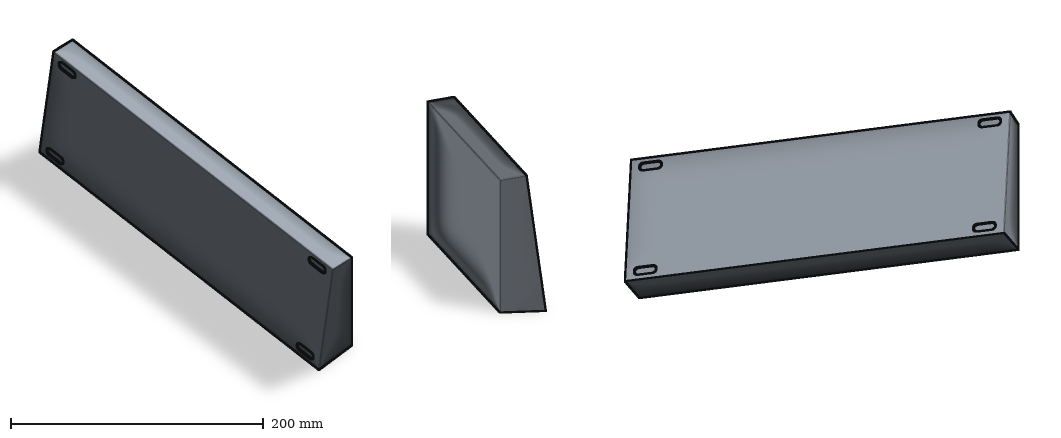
import cadquery as cq
import math

length = 316.5
base_depth = 37.0
height = 110.2
lean_angle = 8.0
edge_radius = 0.5

slot_length = 19.0
slot_width = 7.3
slot_depth = 0.5
slot_wall_taper = 45.0
slot_end_inset = 16.8
slot_edge_inset = 8.0

lean = math.radians(lean_angle)
corner_height = height + edge_radius * (math.cos(lean) + math.sin(lean) - 1)
corner_y = corner_height * math.tan(lean)
face_height = corner_height / math.cos(lean)
back_height = corner_height - (base_depth - corner_y) * math.tan(lean)


def rounded_wedge():
    """Wedge standing on a sharp-edged base, with its front bottom edge on the X axis."""
    profile = [
        (0, 0),
        (base_depth, 0),
        (base_depth, back_height),
        (corner_y, corner_height),
    ]
    block = cq.Workplane("YZ").polyline(profile).close().extrude(length)
    return block.edges("not <Z").fillet(edge_radius)


def slot_cutters():
    """Cutters for the four slots, drawn on the front face with local Y running up the lean."""
    front_face = cq.Plane(
        origin=(0, 0, 0),
        xDir=(1, 0, 0),
        normal=(0, -math.cos(lean), math.sin(lean)),
    )
    centres = [
        (x, y)
        for x in (slot_end_inset, length - slot_end_inset)
        for y in (slot_edge_inset, face_height - slot_edge_inset)
    ]
    slots = cq.Workplane(front_face).pushPoints(centres).slot2D(slot_length, slot_width)
    return slots.extrude(-slot_depth, taper=slot_wall_taper)


result = rounded_wedge().cut(slot_cutters())